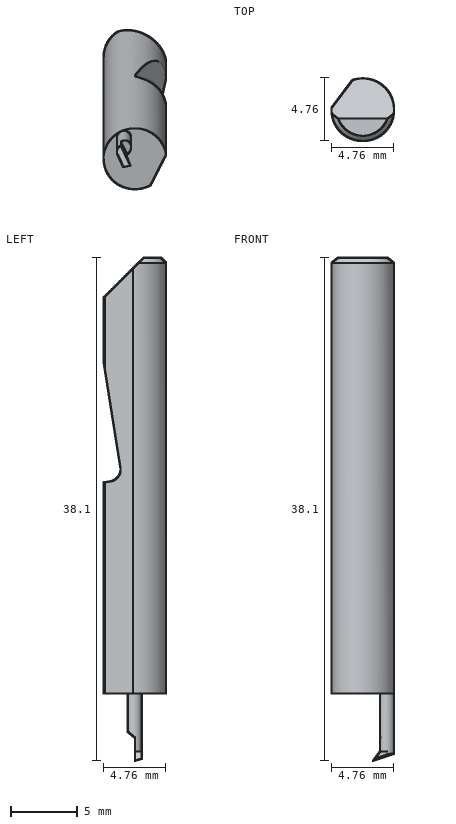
import cadquery as cq
import math


shank_diameter = 4.7625
shank_radius = shank_diameter / 2
overall_length = 38.1
neck_length = 5.08
shank_length = overall_length - neck_length
top_chamfer = 0.4

bevel_start_y = -0.68
bevel_drop = shank_radius - bevel_start_y

flat_direction = 143.0
flat_distance = 1.98

notch_top_z = 25.2
notch_bottom_z = 16.0
notch_ramp_angle = math.radians(9)
notch_corner_radius = 0.9

neck_radius = 0.54
neck_x = shank_radius - neck_radius

rake_end_z = -3.33
rake_runout = 0.45

hook_top_z = -4.37
hook_flank_angle = math.radians(54)
tip_bottom_angle = math.radians(18.5)
tip_clearance_angle = math.radians(12)
tip_z = -neck_length
hook_root_x = neck_x - neck_radius
tip_x = hook_root_x - (hook_top_z - tip_z) / math.tan(hook_flank_angle)

overshoot = 2.0


def extrude_along_x(points):
    """Prism with a (Y, Z) outline, wider than the shank on both sides."""
    half_width = shank_radius + overshoot
    return cq.Workplane("YZ").polyline(points).close().extrude(half_width, both=True)


def make_shank():
    return (
        cq.Workplane("XY")
        .circle(shank_radius)
        .extrude(shank_length)
        .faces(">Z")
        .chamfer(top_chamfer)
    )


def bevel_cut():
    run = bevel_drop + overshoot
    return extrude_along_x([
        (bevel_start_y, shank_length),
        (bevel_start_y + run, shank_length - run),
        (bevel_start_y + run, shank_length),
    ])


def flat_cut():
    return (
        cq.Workplane("XY")
        .box(shank_radius, shank_diameter, shank_length, centered=(False, True, False))
        .translate((flat_distance, 0, 0))
        .rotate((0, 0, 0), (0, 0, 1), flat_direction)
    )


def notch_cut():
    """Right-angled wedge: the ramp and the end wall meet at a rounded corner."""
    ramp_sin = math.sin(notch_ramp_angle)
    ramp_cos = math.cos(notch_ramp_angle)
    notch_height = notch_top_z - notch_bottom_z
    ramp_length = notch_height * ramp_cos
    wall_reach = notch_height * ramp_sin + overshoot
    ramp_reach = ramp_length + overshoot
    corner_y = shank_radius - ramp_length * ramp_sin
    corner_z = notch_top_z - ramp_length * ramp_cos
    outline = [
        (corner_y, corner_z),
        (corner_y + wall_reach * ramp_cos, corner_z - wall_reach * ramp_sin),
        (corner_y + ramp_reach * ramp_sin, corner_z + ramp_reach * ramp_cos),
    ]
    return extrude_along_x(outline).edges("<Y").fillet(notch_corner_radius)


def make_neck_and_tip():
    neck = cq.Workplane("XY").center(neck_x, 0).circle(neck_radius).extrude(-neck_length)
    hook = (
        cq.Workplane("XZ")
        .polyline([
            (hook_root_x, hook_top_z),
            (neck_x, hook_top_z),
            (neck_x, tip_z),
            (tip_x, tip_z),
        ])
        .close()
        .extrude(neck_radius)
    )
    return neck.union(hook).cut(rake_cut()).cut(tip_bottom_cut())


def rake_cut():
    return extrude_along_x([
        (0, tip_z - overshoot),
        (0, rake_end_z),
        (neck_radius, rake_end_z + rake_runout),
        (neck_radius + overshoot, rake_end_z + rake_runout),
        (neck_radius + overshoot, tip_z - overshoot),
    ])


def tip_bottom_cut():
    """Everything below the plane that rises from the tip point towards +X and towards -Y."""
    rise_x = math.tan(tip_bottom_angle)
    rise_y = math.tan(tip_clearance_angle)
    plane = cq.Plane(origin=(tip_x, 0, tip_z), xDir=(1, 0, rise_x), normal=(-rise_x, rise_y, 1))
    return cq.Workplane(plane).rect(2 * shank_diameter, 2 * shank_diameter).extrude(-overshoot)


shank = make_shank().cut(bevel_cut()).cut(flat_cut()).cut(notch_cut())
result = shank.union(make_neck_and_tip())